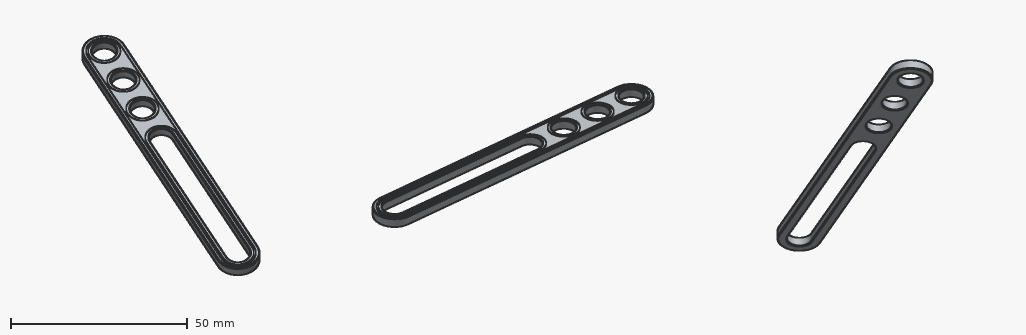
import cadquery as cq

length = 100.0
width = 12.5
thickness = 3.1

pitch = width
end_center = (length - width) / 2
hole_count = 3
hole_centers = [-end_center + pitch * i for i in range(hole_count)]
slot_start = -end_center + pitch * hole_count
slot_end = end_center

hole_diameter = 7.0
collar_diameter = 9.2
edge_chamfer = 0.3

rim_width = 1.1
recess_depth = 0.2


def capsule(start_x, end_x, diameter, bottom, height):
    """Upright prism with full-round ends centred at start_x and end_x."""
    return (
        cq.Workplane("XY", origin=((start_x + end_x) / 2, 0, bottom))
        .slot2D(end_x - start_x + diameter, diameter)
        .extrude(height)
    )


def disc(center_x, diameter, bottom, height):
    """Upright cylinder centred at center_x."""
    return cq.Workplane("XY", origin=(center_x, 0, bottom)).circle(diameter / 2).extrude(height)


def make_recess():
    """Shallow recess inside the rim, leaving the collars standing."""
    floor = thickness - recess_depth
    recess = capsule(-end_center, end_center, width - 2 * rim_width, floor, recess_depth)
    for center_x in hole_centers:
        recess = recess.cut(disc(center_x, collar_diameter, floor, recess_depth))
    return recess.cut(capsule(slot_start, slot_end, collar_diameter, floor, recess_depth))


bar = capsule(-end_center, end_center, width, 0, thickness)
for hole_x in hole_centers:
    bar = bar.cut(disc(hole_x, hole_diameter, 0, thickness))
bar = bar.cut(capsule(slot_start, slot_end, hole_diameter, 0, thickness))
bar = bar.faces("<Z or >Z").chamfer(edge_chamfer)

result = bar.cut(make_recess())